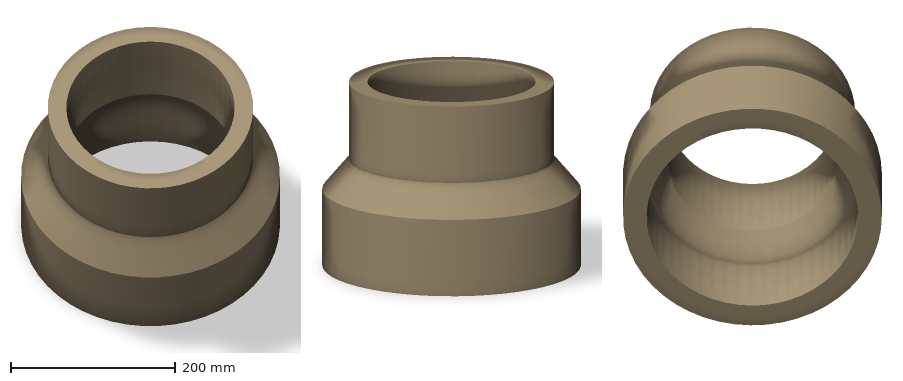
import cadquery as cq

large_diameter = 315.0
small_diameter = 250.0
large_wall = 28.7
small_wall = 22.7
total_height = 230.0
large_length = 95.8
small_length = 95.8
small_bore_length = 103.3
large_bore_length = 93.2

large_radius = large_diameter / 2
small_radius = small_diameter / 2
large_bore_radius = large_radius - large_wall
small_bore_radius = small_radius - small_wall
outer_cone_top = total_height - small_length
bore_cone_top = total_height - small_bore_length

half_section = (
    cq.Workplane("XZ")
    .moveTo(large_bore_radius, 0)
    .lineTo(large_radius, 0)
    .lineTo(large_radius, large_length)
    .lineTo(small_radius, outer_cone_top)
    .lineTo(small_radius, total_height)
    .lineTo(small_bore_radius, total_height)
    .lineTo(small_bore_radius, bore_cone_top)
    .lineTo(large_bore_radius, large_bore_length)
    .close()
)

result = half_section.revolve(360, (0, 0, 0), (0, 1, 0))